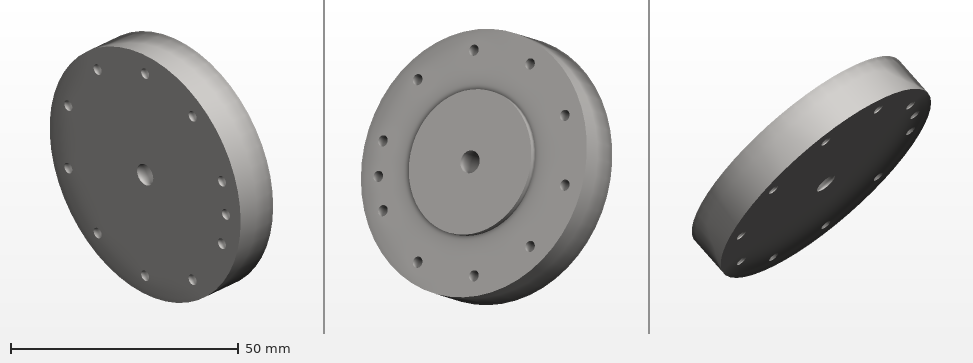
import cadquery as cq

disc_diameter = 60.0
overall_depth = 11.5
boss_height = 1.5
disc_thickness = overall_depth - boss_height

boss_diameter = 32.5

center_hole_diameter = 5.1
rim_hole_diameter = 2.5
rim_hole_circle_radius = 25.4
rim_hole_count = 10
first_hole_angle = 18.0


def cylinder(diameter, start_y, length):
    """Cylinder on the part axis, running from start_y toward +Y."""
    plane = cq.Workplane("XZ", origin=(0, start_y, 0))
    return plane.circle(diameter / 2).extrude(-length)


def rim_holes(first_angle, count):
    """Cutters evenly spaced round the full hole circle."""
    return (
        cq.Workplane("XZ")
        .polarArray(rim_hole_circle_radius, first_angle, 360, count)
        .circle(rim_hole_diameter / 2)
        .extrude(-overall_depth)
    )


disc = cylinder(disc_diameter, 0, disc_thickness)
boss = cylinder(boss_diameter, disc_thickness, boss_height)
center_hole = cylinder(center_hole_diameter, 0, overall_depth)

ring_holes = rim_holes(first_hole_angle, rim_hole_count)
extra_hole = rim_holes(0, 1)

result = disc.union(boss).cut(center_hole).cut(ring_holes).cut(extra_hole)